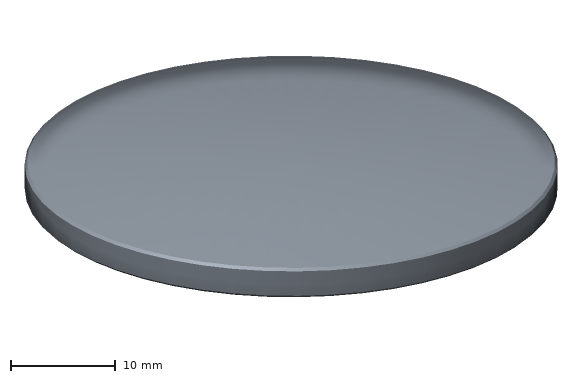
import cadquery as cq

diameter = 50.8
center_thickness = 4.4
dome_rise = 1.35
bevel = 0.25

rim_radius = diameter / 2
face_radius = rim_radius - bevel
dome_edge_height = center_thickness - dome_rise

sphere_radius = (face_radius**2 + dome_rise**2) / (2 * dome_rise)
mid_radius = face_radius / 2
mid_height = center_thickness - sphere_radius + (sphere_radius**2 - mid_radius**2) ** 0.5

half_section = (
    cq.Workplane("XZ")
    .moveTo(0, 0)
    .lineTo(face_radius, 0)
    .lineTo(rim_radius, bevel)
    .lineTo(rim_radius, dome_edge_height - bevel)
    .lineTo(face_radius, dome_edge_height)
    .threePointArc((mid_radius, mid_height), (0, center_thickness))
    .close()
)
result = half_section.revolve(360, (0, 0, 0), (0, 1, 0))